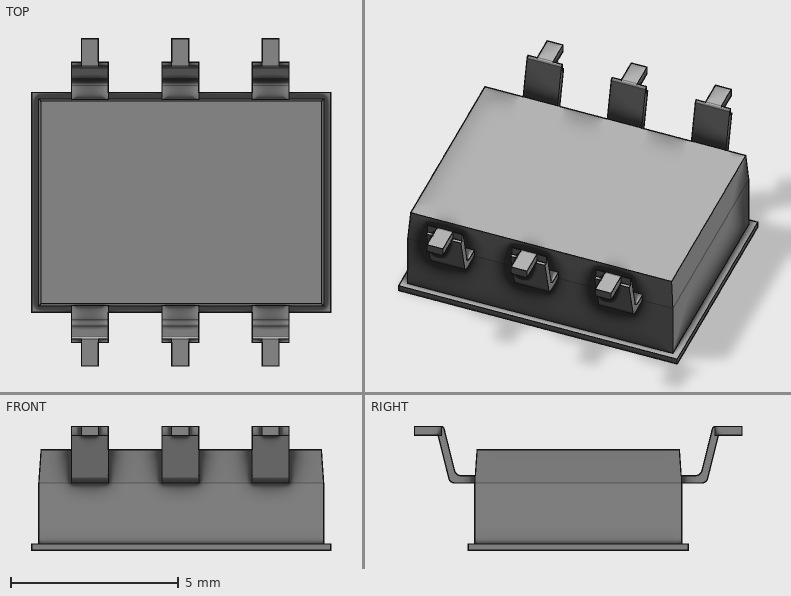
import cadquery as cq
import math

flange_length = 8.96
flange_width = 6.59
flange_height = 0.2

body_length = 8.53
body_width = 6.19
seam_height = 2.01
body_height = 3.01
draft_inset = 0.07

leads_per_side = 3
lead_pitch = 2.7
lead_offset = -0.03
lead_width = 1.11
lead_thickness = 0.23
lead_embed = 0.29
flank_angle = 14.0
lower_inner_radius = 0.21
lower_outer_radius = 0.2
top_radius = 0.09

lead_span = 9.8
lead_top = 3.7
tab_width = 0.51
tab_thickness = 0.26
tab_root = 4.09
flank_root = 4.19


def make_body():
    flange = cq.Workplane("XY").box(
        flange_length, flange_width, flange_height, centered=(True, True, False)
    )
    lower = cq.Workplane("XY").box(
        body_length, body_width, seam_height, centered=(True, True, False)
    )
    draft_angle = math.degrees(math.atan(draft_inset / (body_height - seam_height)))
    upper = (
        cq.Workplane("XY", origin=(0, 0, seam_height))
        .rect(body_length, body_width)
        .extrude(body_height - seam_height, taper=draft_angle)
    )
    return flange.union(lower).union(upper)


def make_lead():
    """One lead centred on X = 0, reaching out toward +Y."""
    slope = math.tan(math.radians(flank_angle))
    flank_depth = lead_thickness / math.cos(math.radians(flank_angle))
    tab_bottom = lead_top - tab_thickness
    foot_top = seam_height + lead_thickness
    embedded_end = body_width / 2 - lead_embed
    tip = lead_span / 2

    def outer_flank(z):
        return flank_root - (tab_bottom - z) * slope

    def inner_flank(z):
        return outer_flank(z) - flank_depth

    lower_outer = (outer_flank(seam_height), seam_height)
    lower_inner = (inner_flank(foot_top), foot_top)
    top_inner = (inner_flank(lead_top), lead_top)
    profile = [
        (embedded_end, seam_height),
        lower_outer,
        (flank_root, tab_bottom),
        (tip, tab_bottom),
        (tip, lead_top),
        top_inner,
        lower_inner,
        (embedded_end, foot_top),
    ]
    lead = (
        cq.Workplane("YZ").polyline(profile).close().extrude(lead_width / 2, both=True)
    )

    bends = [
        (lower_outer, lower_outer_radius),
        (lower_inner, lower_inner_radius),
        (top_inner, top_radius),
    ]
    for (y, z), radius in bends:
        corner = cq.selectors.NearestToPointSelector((0, y, z))
        lead = lead.edges(corner).fillet(radius)

    shoulder_width = (lead_width - tab_width) / 2
    for side in (-1, 1):
        trim = cq.Workplane("XY").box(
            shoulder_width, tip - tab_root, tab_thickness, centered=(True, False, False)
        )
        shoulder_center = side * (tab_width + shoulder_width) / 2
        lead = lead.cut(trim.translate((shoulder_center, tab_root, tab_bottom)))
    return lead


result = make_body()
lead = make_lead()
opposite_lead = lead.mirror("XZ")
for index in range(leads_per_side):
    lead_x = (index - (leads_per_side - 1) / 2) * lead_pitch + lead_offset
    for one_lead in (lead, opposite_lead):
        result = result.union(one_lead.translate((lead_x, 0, 0)))